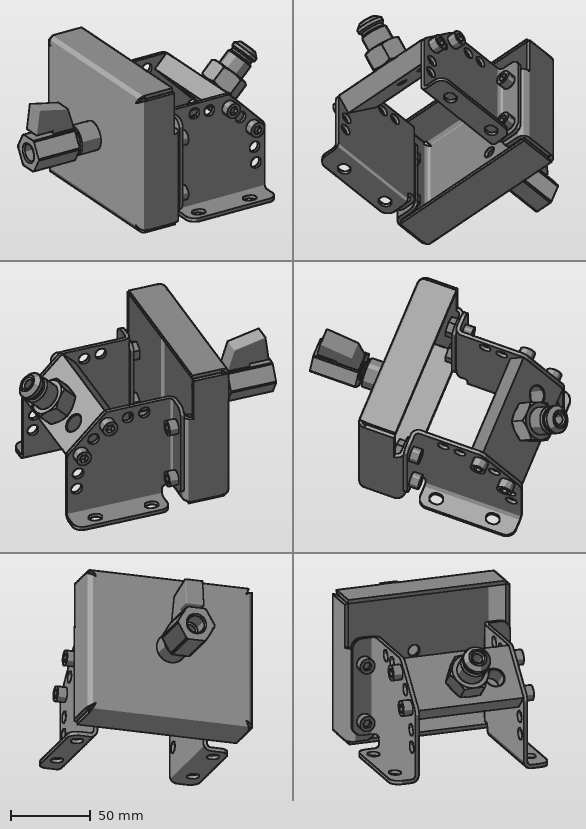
import cadquery as cq
import math


sheet = 2.5
clearance = 0.2

cover_width = 111.0
cover_bottom = sheet
cover_top = 98.0
cover_bend = 5.4
cover_back = 30.8
top_wall_depth = 25.6
bottom_wall_depth = 27.8
cover_flange = 18.0
cover_flange_corner = 5.4
cover_flange_top = 66.8
cover_height = cover_top - cover_bottom
cover_mid_z = (cover_top + cover_bottom) / 2

plate_outer_x = 37.7
plate_inner_x = plate_outer_x - sheet
bracket_half_width = 53.0
bracket_bend = 2 * sheet
bracket_rear = 104.2
bracket_top = 74.0
foot_front = 39.7
flange_bottom = 9.8
sheet_corner = 6.4
notch_fillet = 2.0
chamfer_leg = 26.5
hole_diameter = 7.4
slot_length = 9.0
slot_x = 45.3
slot_y = (50.0, 88.0)

block_length = chamfer_leg * math.sqrt(2)
block_thickness = 12.8
port_diameter = 11.8
port_chamfer = 0.5
port_offset = 2.4
side_port_x = -20.2
block_hole_depth = 6.7
block_screw_offset = 12.6
spare_holes = ((23.9, 15.8), (32.5, 23.0))

head_diameter = 9.8
head_height = 6.0
socket_flats = 5.0
socket_depth = 3.0
cover_screw_x = 45.3
cover_screw_z = (19.0, 57.2)
nut_flats = 11.1
nut_height = 5.0

collar_radius = 9.3
coupling_hex_start = 1.2
coupling_hex_end = 13.8
coupling_hex_flats = 23.5
spigot_radius = 8.8
spigot_end = 23.7
groove_radius = 7.5
groove_end = 26.6
rib_radius = 8.8
rib_end = 30.1
coupling_end = 32.8
tip_radius = 5.7
coupling_bore = 6.4
coupling_mouth = 8.8

valve_z = 50.3
nipple_radius = 9.6
nipple_length = 14.8
nipple_chamfer = 0.8
neck_radius = 5.7
neck_collar_radius = 6.0
neck_collar_start = 16.5
valve_hex_start = 17.5
valve_hex_end = 48.1
valve_hex_flats = 21.5
valve_hex_edge = 0.7
valve_thread_diameter = 11.1
valve_thread_depth = 13.5
valve_mouth_diameter = 13.1
valve_bore = 7.7
stem_radius = 4.4
stem_y = -25.3
handle_width = 11.8
handle_edge = 0.5
handle_outline = (
    (-17.5, 62.0), (-32.8, 62.0), (-32.8, 64.0), (-45.8, 64.0), (-43.6, 81.3), (-22.2, 76.8),
)

cut_mid_y = bracket_rear - chamfer_leg / 2
cut_mid_z = bracket_top - chamfer_leg / 2
cut_plane = cq.Plane(origin=(0, cut_mid_y, cut_mid_z), xDir=(1, 0, 0), normal=(0, 1, 1))


def on_cut(along, depth):
    """Y and Z of a point at a distance along the cut and a depth below it."""
    point = cut_plane.toWorldCoords((0, along, -depth))
    return point.y, point.z


def hex_across_corners(flats):
    return flats / math.cos(math.pi / 6)


def bent_edge(plane, reach, radius, length):
    """Quarter bend from the outer face at the origin, followed by a flat tab."""
    inner = radius - sheet
    diagonal = math.sqrt(0.5)
    return (
        cq.Workplane(plane)
        .moveTo(0, radius)
        .threePointArc((radius - radius * diagonal, radius - radius * diagonal), (radius, 0))
        .lineTo(reach, 0)
        .lineTo(reach, sheet)
        .lineTo(radius, sheet)
        .threePointArc((radius - inner * diagonal, radius - inner * diagonal), (sheet, radius))
        .close()
        .extrude(length)
    )


def both_sides(right):
    return right.union(right.mirror("YZ"))


def screw_head(plane):
    return (
        cq.Workplane(plane)
        .circle(head_diameter / 2)
        .extrude(head_height)
        .faces(cq.selectors.DirectionMinMaxSelector(plane.zDir, True))
        .workplane()
        .polygon(6, hex_across_corners(socket_flats))
        .cutBlind(-socket_depth)
    )


def side_plate():
    front = cover_back + bracket_bend
    plate = (
        cq.Workplane("YZ", origin=(plate_inner_x, 0, 0))
        .moveTo(foot_front, bracket_bend)
        .lineTo(bracket_rear, bracket_bend)
        .lineTo(bracket_rear, bracket_top - chamfer_leg)
        .lineTo(bracket_rear - chamfer_leg, bracket_top)
        .lineTo(front, bracket_top)
        .lineTo(front, flange_bottom)
        .lineTo(foot_front, flange_bottom)
        .close()
        .extrude(sheet)
    )
    cut_ends = (
        (bracket_rear, bracket_top - chamfer_leg),
        (bracket_rear - chamfer_leg, bracket_top),
    )
    for y, z in cut_ends:
        plate = plate.edges(
            cq.selectors.NearestToPointSelector((plate_inner_x + sheet / 2, y, z))
        ).fillet(sheet_corner)
    plate = plate.edges(
        cq.selectors.NearestToPointSelector((plate_inner_x + sheet / 2, foot_front, flange_bottom))
    ).fillet(notch_fillet)
    holes = [on_cut(side * along, depth) for along, depth in spare_holes for side in (-1, 1)]
    holes.append(on_cut(0, block_hole_depth))
    cutter = (
        cq.Workplane("YZ", origin=(plate_inner_x, 0, 0))
        .pushPoints(holes)
        .circle(hole_diameter / 2)
        .extrude(sheet)
    )
    return plate.cut(cutter)


def mounting_foot():
    plane = cq.Plane(origin=(plate_inner_x, bracket_rear, 0), xDir=(1, 0, 0), normal=(0, -1, 0))
    foot = bent_edge(plane, bracket_half_width - plate_inner_x, bracket_bend, bracket_rear - foot_front)
    foot = foot.faces(">X").edges("|Z").fillet(sheet_corner)
    slots = (
        cq.Workplane("XY")
        .pushPoints([(slot_x, y) for y in slot_y])
        .slot2D(slot_length, hole_diameter, 90)
        .extrude(sheet)
    )
    return foot.cut(slots)


def bracket_flange():
    plane = cq.Plane(origin=(plate_inner_x, cover_back, flange_bottom), xDir=(1, 0, 0), normal=(0, 0, 1))
    reach = bracket_half_width - plate_inner_x
    flange = bent_edge(plane, reach, bracket_bend, bracket_top - flange_bottom)
    return flange.faces(">X").edges("|Y").fillet(sheet_corner)


def right_bracket():
    return side_plate().union(mounting_foot()).union(bracket_flange())


def right_block_screws():
    heads = cq.Workplane()
    for side in (-1, 1):
        y, z = on_cut(side * block_screw_offset, block_hole_depth)
        plane = cq.Plane(origin=(plate_outer_x, y, z), xDir=(0, 1, 0), normal=(1, 0, 0))
        heads = heads.add(screw_head(plane))
    return heads


def cover_tray():
    """Front panel with four walls, before the corners are opened."""
    outer = (
        cq.Workplane("XY")
        .box(cover_width, bottom_wall_depth, cover_height, centered=(True, False, True))
        .faces("<Y").edges().fillet(cover_bend)
    )
    inner = (
        cq.Workplane("XY", origin=(0, sheet, 0))
        .box(cover_width - 2 * sheet, bottom_wall_depth, cover_height - 2 * sheet,
             centered=(True, False, True))
        .faces("<Y").edges().fillet(cover_bend - sheet)
    )
    return outer.cut(inner).translate((0, 0, cover_mid_z))


def corner_openings():
    """Gaps between neighbouring walls and bends at the four corners."""
    half_x = cover_width / 2
    half_z = cover_height / 2
    wall_end_x = half_x - sheet
    wall_end_z = half_z - sheet - clearance
    wall_gap = (
        cq.Workplane("XZ")
        .moveTo(wall_end_x, wall_end_z)
        .lineTo(half_x, wall_end_z)
        .lineTo(half_x, half_z)
        .lineTo(wall_end_x, half_z)
        .close()
        .extrude(-bottom_wall_depth)
    )
    bend_gap = (
        cq.Workplane("XZ")
        .moveTo(half_x - cover_bend, half_z - cover_bend)
        .lineTo(half_x, wall_end_z)
        .lineTo(half_x, half_z)
        .lineTo(wall_end_x, half_z)
        .close()
        .extrude(-cover_bend)
    )
    right = wall_gap.union(bend_gap)
    right = right.union(right.mirror("XY"))
    return both_sides(right).translate((0, 0, cover_mid_z))


def right_cover_flange():
    bottom = cover_bottom + sheet + clearance
    plane = cq.Plane(origin=(cover_width / 2, cover_back, bottom), xDir=(-1, 0, 0), normal=(0, 0, 1))
    flange = bent_edge(plane, cover_flange, cover_bend, cover_flange_top - bottom)
    return flange.faces("<X").edges("|Y").fillet(cover_flange_corner)


def cover():
    side_wall_depth = cover_back - cover_bend
    tray = cover_tray().cut(corner_openings())
    top_trim = (
        cq.Workplane("XY", origin=(0, top_wall_depth, cover_top - sheet))
        .box(cover_width, bottom_wall_depth, sheet, centered=(True, False, False))
    )
    side_trim = (
        cq.Workplane("XY", origin=(0, side_wall_depth, cover_bottom + sheet))
        .box(cover_width, bottom_wall_depth, cover_height, centered=(True, False, False))
    )
    valve_hole = (
        cq.Workplane("XZ", origin=(0, 0, valve_z))
        .circle(valve_bore / 2)
        .extrude(-sheet)
    )
    tray = tray.cut(top_trim).cut(side_trim).cut(valve_hole)
    return tray.union(both_sides(right_cover_flange()))


def right_cover_fasteners():
    parts = cq.Workplane()
    for z in cover_screw_z:
        head_plane = cq.Plane(
            origin=(cover_screw_x, cover_back + sheet, z), xDir=(1, 0, 0), normal=(0, 1, 0)
        )
        nut_plane = cq.Plane(
            origin=(cover_screw_x, cover_back - sheet, z), xDir=(0, 0, 1), normal=(0, -1, 0)
        )
        nut = cq.Workplane(nut_plane).polygon(6, hex_across_corners(nut_flats)).extrude(nut_height)
        parts = parts.add(screw_head(head_plane)).add(nut)
    return parts


def make_frame():
    right = right_bracket()
    for part in right_block_screws().vals() + right_cover_fasteners().vals():
        right = right.union(cq.Workplane(part))
    return both_sides(right).union(cover())


def manifold_block():
    block = (
        cq.Workplane(cut_plane)
        .rect(2 * plate_inner_x, block_length)
        .extrude(-block_thickness)
    )
    port = (
        cq.Workplane(cut_plane)
        .center(side_port_x, port_offset)
        .circle(port_diameter / 2)
        .extrude(-block_thickness)
    )
    mouth = (
        cq.Workplane(cut_plane)
        .center(side_port_x, port_offset)
        .circle(port_diameter / 2 + port_chamfer)
        .extrude(-port_chamfer, taper=45)
    )
    return block.cut(port).cut(mouth)


def upright_coupling():
    groove_side = spigot_radius - groove_radius
    rib_side = rib_radius - groove_radius
    turned = (
        cq.Workplane("XZ")
        .polyline([
            (0, 0),
            (collar_radius, 0),
            (collar_radius, coupling_hex_start),
            (spigot_radius, coupling_hex_start),
            (spigot_radius, spigot_end),
            (groove_radius, spigot_end + groove_side),
            (groove_radius, groove_end),
            (rib_radius, groove_end + rib_side),
            (rib_radius, rib_end),
            (tip_radius, coupling_end),
            (0, coupling_end),
        ])
        .close()
        .revolve(360, (0, 0), (0, 1))
    )
    hexagon = (
        cq.Workplane("XY", origin=(0, 0, coupling_hex_start))
        .polygon(6, hex_across_corners(coupling_hex_flats))
        .extrude(coupling_hex_end - coupling_hex_start)
    )
    flat_radius = coupling_hex_flats / 2
    rounding_radius = hex_across_corners(coupling_hex_flats) / 2 + clearance
    corner_drop = (rounding_radius - flat_radius) * math.tan(math.pi / 6)
    corner_rounding = (
        cq.Workplane("XZ")
        .polyline([
            (0, coupling_hex_start),
            (flat_radius, coupling_hex_start),
            (rounding_radius, coupling_hex_start + corner_drop),
            (rounding_radius, coupling_hex_end - corner_drop),
            (flat_radius, coupling_hex_end),
            (0, coupling_hex_end),
        ])
        .close()
        .revolve(360, (0, 0), (0, 1))
    )
    return turned.union(hexagon.intersect(corner_rounding))


def make_manifold():
    seat = cut_plane.toWorldCoords((0, port_offset, 0))
    seat_plane = cq.Plane(origin=seat, xDir=cut_plane.xDir, normal=cut_plane.zDir)
    coupling = cq.Workplane(upright_coupling().val().moved(cq.Location(seat_plane)))
    bore = (
        cq.Workplane(seat_plane)
        .workplane(offset=-block_thickness)
        .circle(coupling_bore / 2)
        .extrude(block_thickness + coupling_end)
    )
    mouth_depth = (coupling_mouth - coupling_bore) / 2
    mouth = (
        cq.Workplane(seat_plane)
        .workplane(offset=coupling_end)
        .circle(coupling_mouth / 2)
        .extrude(-mouth_depth, taper=45)
    )
    return manifold_block().union(coupling).cut(bore).cut(mouth)


def valve_body():
    axis_plane = cq.Plane(origin=(0, 0, valve_z), xDir=(1, 0, 0), normal=(0, -1, 0))
    nipple = (
        cq.Workplane(axis_plane)
        .circle(nipple_radius)
        .extrude(nipple_length)
        .faces("<Y").edges().chamfer(nipple_chamfer)
    )
    neck = cq.Workplane(axis_plane).circle(neck_radius).extrude(valve_hex_start)
    collar = (
        cq.Workplane(axis_plane)
        .workplane(offset=neck_collar_start)
        .circle(neck_collar_radius)
        .extrude(valve_hex_start - neck_collar_start)
    )
    hexagon = (
        cq.Workplane(axis_plane)
        .workplane(offset=valve_hex_start)
        .polygon(6, hex_across_corners(valve_hex_flats))
        .extrude(valve_hex_end - valve_hex_start)
        .edges("|Y").chamfer(valve_hex_edge)
    )
    return (
        nipple.union(neck).union(collar).union(hexagon)
        .faces("<Y").workplane(origin=(0, 0, valve_z))
        .cboreHole(valve_bore, valve_thread_diameter, valve_thread_depth)
        .faces("<Y").workplane(origin=(0, 0, valve_z))
        .cskHole(valve_thread_diameter, valve_mouth_diameter, 90, depth=valve_thread_depth)
    )


def valve_handle():
    handle_bottom = handle_outline[0][1]
    grip = (
        cq.Workplane("YZ")
        .polyline(handle_outline)
        .close()
        .extrude(handle_width / 2, both=True)
        .edges().fillet(handle_edge)
    )
    stem = (
        cq.Workplane("XY", origin=(0, stem_y, valve_z + valve_hex_flats / 2))
        .circle(stem_radius)
        .extrude(handle_bottom - valve_z - valve_hex_flats / 2)
    )
    return grip.union(stem)


def make_valve():
    return valve_body().union(valve_handle())


frame = make_frame()
manifold = make_manifold()
valve = make_valve()

result = cq.Compound.makeCompound([frame.val(), manifold.val(), valve.val()])